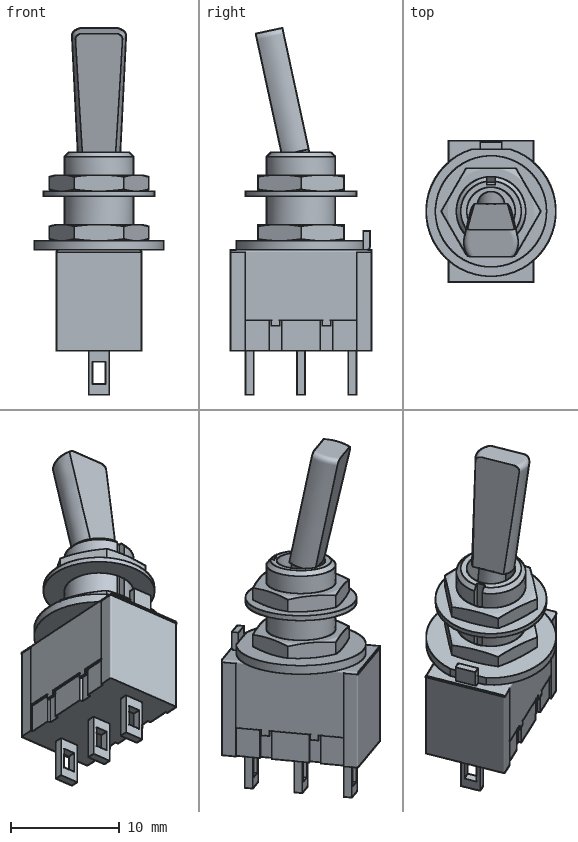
import cadquery as cq
import math


OVERALL_HEIGHT = 33.73
BODY_BOTTOM = 4.05
BODY_HEIGHT = 9.07
SHEET = 0.2
BODY_TOP = BODY_BOTTOM + BODY_HEIGHT
FRAME_TOP = BODY_TOP + SHEET

BODY_X = 7.83
BODY_Y = 13.0
CORNER_RADIUS = 0.15
TERMINAL_X = 1.92
TERMINAL_Y = 0.78
TERMINAL_PITCH = 4.72
EYE_X = 1.18
EYE_Z = 2.02
EYE_BOTTOM = 1.0

SIDE_Y = 10.25
SIDE_BOTTOM = 6.85
SLOT_Y = 1.1
SLOT_DEPTH = 0.3
SLOT_PITCH = 4.7
TAB_Y = 0.78
TAB_Z = 0.5

THREAD_DIAMETER = 6.37
BUSHING_TOP = 22.3
BUSHING_CHAMFER = 0.4
BORE_DIAMETER = 4.45
BORE_FLOOR = 17.45
KEYWAY_X = 0.78
KEYWAY_FLOOR_Y = 2.45

LOCATOR_DIAMETER = 11.95
LOCATOR_THICKNESS = 0.85
LOCATOR_FLAT_Y = 5.7
LUG_X = 1.95
LUG_THICKNESS = 0.65
LUG_Z = 1.75
LUG_BEND_RADIUS = 0.27

NUT_FLATS = 7.93
NUT_THICKNESS = 1.5
NUT_BORE_DIAMETER = 5.35
NUT_FACE_DIAMETER = 7.95
NUT_CHAMFER_Z = 0.17
WASHER_DIAMETER = 10.22
WASHER_THICKNESS = 0.47
WASHER_BOTTOM = 18.25
LOWER_NUT_BOTTOM = FRAME_TOP + LOCATOR_THICKNESS
UPPER_NUT_BOTTOM = WASHER_BOTTOM + WASHER_THICKNESS

LEVER_TILT = 12.2
PIVOT_Z = 19.87
BLADE_START = 2.5
BLADE_ROOT_DIAMETER = 3.95
BLADE_TIP_DIAMETER = 5.05
BLADE_THICKNESS = 2.53
BLADE_TIP_FILLET = 0.5
NECK_DIAMETER = BLADE_THICKNESS
TILT_RADIANS = math.radians(LEVER_TILT)
TIP_CENTRE_Z = OVERALL_HEIGHT - BLADE_THICKNESS / 2 * math.sin(TILT_RADIANS)
BLADE_LENGTH = (TIP_CENTRE_Z - PIVOT_Z) / math.cos(TILT_RADIANS) - BLADE_START


def block(size_x, size_y, bottom, top, x=0, y=0):
    """Upright block centred on (x, y) that spans two levels."""
    return (
        cq.Workplane("XY", origin=(x, y, bottom))
        .box(size_x, size_y, top - bottom, centered=(True, True, False))
    )


def disc(diameter, bottom, top):
    """Cylinder on the Z axis that spans two levels."""
    return cq.Workplane("XY", origin=(0, 0, bottom)).circle(diameter / 2).extrude(top - bottom)


def make_body():
    """Moulded body with its three terminals."""
    body = block(BODY_X, BODY_Y, BODY_BOTTOM, BODY_TOP).edges("|Z").fillet(CORNER_RADIUS)
    for side in (-1, 1):
        recess_x = side * (BODY_X - SHEET) / 2
        body = body.cut(block(SHEET, SIDE_Y, BODY_BOTTOM, BODY_TOP, recess_x))
        slot_x = side * (BODY_X / 2 - SHEET - SLOT_DEPTH / 2)
        for end in (-1, 1):
            slot_y = end * SLOT_PITCH / 2
            body = body.cut(block(SLOT_DEPTH, SLOT_Y, BODY_BOTTOM, SIDE_BOTTOM, slot_x, slot_y))
    for position in (-1, 0, 1):
        terminal_y = position * TERMINAL_PITCH
        terminal = block(TERMINAL_X, TERMINAL_Y, 0, BODY_BOTTOM, y=terminal_y)
        eye = block(EYE_X, TERMINAL_Y, EYE_BOTTOM, EYE_BOTTOM + EYE_Z, y=terminal_y)
        body = body.union(terminal.cut(eye))
    return body


def make_frame():
    """Sheet metal frame: a top plate with bent edges, two side plates and their tabs."""
    frame = block(BODY_X, BODY_Y, BODY_TOP, FRAME_TOP)
    for side in (-1, 1):
        plate_x = side * (BODY_X - SHEET) / 2
        frame = frame.union(block(SHEET, SIDE_Y, SIDE_BOTTOM, BODY_TOP, plate_x))
        for end in (-1, 1):
            tab_y = end * SLOT_PITCH / 2
            frame = frame.union(block(SHEET, TAB_Y, SIDE_BOTTOM - TAB_Z, SIDE_BOTTOM, plate_x, tab_y))
    bend = block(BODY_X, BODY_Y, SIDE_BOTTOM - TAB_Z, FRAME_TOP)
    bend = bend.edges(">Z and |Y").fillet(SHEET)
    return frame.intersect(bend)


def make_nut(bottom):
    """Hexagon nut with chamfered corners and a bore countersunk at both ends."""
    corner_radius = NUT_FLATS / math.sqrt(3)
    face_radius = NUT_FACE_DIAMETER / 2
    thread_radius = THREAD_DIAMETER / 2
    bore_radius = NUT_BORE_DIAMETER / 2
    countersink = thread_radius - bore_radius
    half_section = [
        (thread_radius, 0),
        (face_radius, 0),
        (corner_radius, NUT_CHAMFER_Z),
        (corner_radius, NUT_THICKNESS - NUT_CHAMFER_Z),
        (face_radius, NUT_THICKNESS),
        (thread_radius, NUT_THICKNESS),
        (bore_radius, NUT_THICKNESS - countersink),
        (bore_radius, countersink),
    ]
    turned = cq.Workplane("XZ").polyline(half_section).close().revolve(360, (0, 0), (0, 1))
    hexagon = cq.Workplane("XY").polygon(6, 2 * corner_radius).extrude(NUT_THICKNESS)
    return turned.intersect(hexagon).translate((0, 0, bottom))


def make_washer():
    """Plain washer under the upper nut."""
    top = WASHER_BOTTOM + WASHER_THICKNESS
    return disc(WASHER_DIAMETER, WASHER_BOTTOM, top).cut(disc(THREAD_DIAMETER, WASHER_BOTTOM, top))


def make_locator():
    """Locating washer with one flat, where a lug is bent up."""
    top = FRAME_TOP + LOCATOR_THICKNESS
    trim = LOCATOR_DIAMETER / 2
    beyond_flat = block(LOCATOR_DIAMETER, trim, FRAME_TOP, top, y=LOCATOR_FLAT_Y + trim / 2)
    lug_y = LOCATOR_FLAT_Y + LUG_THICKNESS / 2
    lug = block(LUG_X, LUG_THICKNESS, FRAME_TOP, FRAME_TOP + LUG_Z, y=lug_y)
    lug = lug.edges("<Z and >Y").fillet(LUG_BEND_RADIUS)
    ring = disc(LOCATOR_DIAMETER, FRAME_TOP, top).cut(disc(THREAD_DIAMETER, FRAME_TOP, top))
    return ring.cut(beyond_flat).union(lug)


def make_lever():
    """Flat-sided tapered blade on a round neck, which stands on the floor of the bore."""
    blade_end = BLADE_START + BLADE_LENGTH
    half_section = [
        (0, BLADE_START),
        (BLADE_ROOT_DIAMETER / 2, BLADE_START),
        (BLADE_TIP_DIAMETER / 2, blade_end),
        (0, blade_end),
    ]
    cone = cq.Workplane("XZ").polyline(half_section).close().revolve(360, (0, 0), (0, 1))
    cone = cone.faces(">Z").edges().fillet(BLADE_TIP_FILLET)
    slab = block(BLADE_TIP_DIAMETER, BLADE_THICKNESS, BLADE_START, blade_end)
    neck_end = 2 * (BORE_FLOOR - PIVOT_Z)
    neck = disc(NECK_DIAMETER, neck_end, BLADE_START)
    lever = cone.intersect(slab).union(neck)
    lever = lever.rotate((0, 0, 0), (1, 0, 0), LEVER_TILT).translate((0, 0, PIVOT_Z))
    below_floor = block(BODY_X, BODY_Y, 0, BORE_FLOOR)
    return lever.cut(below_floor)


def make_bushing(lever, nuts):
    """Threaded bushing with a blind bore, a keyway, and thread recesses that hold the nuts."""
    bushing = disc(THREAD_DIAMETER, FRAME_TOP, BUSHING_TOP).faces(">Z").chamfer(BUSHING_CHAMFER)
    bushing = bushing.cut(disc(BORE_DIAMETER, BORE_FLOOR, BUSHING_TOP))
    keyway_depth = THREAD_DIAMETER / 2 - KEYWAY_FLOOR_Y
    keyway_y = KEYWAY_FLOOR_Y + keyway_depth / 2
    bushing = bushing.cut(block(KEYWAY_X, keyway_depth, LOWER_NUT_BOTTOM, BUSHING_TOP, y=keyway_y))
    for nut in nuts:
        bushing = bushing.cut(nut)
    return bushing.cut(lever)


body = make_body()
frame = make_frame()
locator = make_locator()
washer = make_washer()
nuts = [make_nut(bottom) for bottom in (LOWER_NUT_BOTTOM, UPPER_NUT_BOTTOM)]
lever = make_lever()
bushing = make_bushing(lever, nuts)

result = cq.Compound.makeCompound(
    [
        body.val(),
        frame.val(),
        locator.val(),
        washer.val(),
        *[nut.val() for nut in nuts],
        lever.val(),
        bushing.val(),
    ]
)